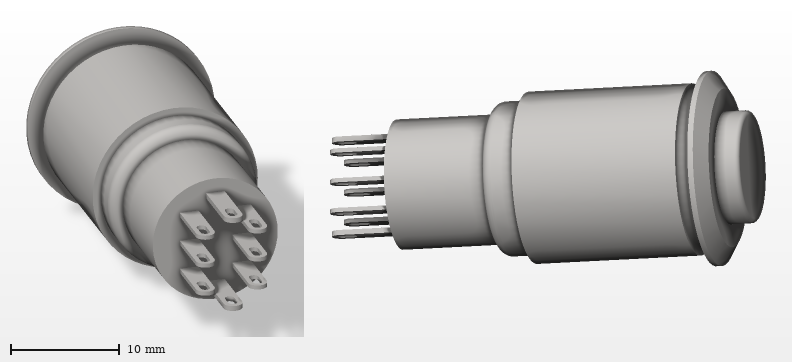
import cadquery as cq

total_length = 39.9

button_diameter = 10.4
button_edge_radius = 0.4

bore_diameter = 10.45
flange_front_diameter = 14.65
flange_diameter = 18.0
neck_diameter = 14.35
body_diameter = 15.9
collar_diameter = 14.3
barrel_diameter = 12.0

flange_front_x = 2.3
flange_rim_x = 3.4
flange_back_x = 3.9
body_start_x = 5.35
body_end_x = 20.85
collar_end_x = 24.0
barrel_end_x = 33.48
bore_floor_x = flange_back_x

neck_fillet_radius = 0.35
collar_edge_radius = 1.0

terminal_width = 1.8
slot_width = 0.88
short_terminal_setback = 0.48
short_terminal_length = total_length - short_terminal_setback - barrel_end_x
short_terminal_thickness = 0.4
short_slot_length = 2.05
column_offset_y = 2.5
row_pitch_z = 2.8
long_terminal_length = total_length - barrel_end_x
long_terminal_thickness = 0.48
long_slot_length = 1.85
long_slot_tip_wall = 0.5
long_terminal_offset_z = 4.4


def make_button():
    """Plain round button resting on the floor of the housing bore."""
    button = cq.Workplane("YZ").circle(button_diameter / 2).extrude(bore_floor_x)
    return button.faces("<X").edges().fillet(button_edge_radius)


def make_shell():
    """Turned housing: flange, filleted neck, body, rounded collar and rear barrel, with a front bore."""
    neck_radius = neck_diameter / 2
    collar_radius = collar_diameter / 2
    fillet = neck_fillet_radius
    profile = (
        cq.Workplane("XY")
        .moveTo(flange_front_x, 0)
        .lineTo(flange_front_x, flange_front_diameter / 2)
        .lineTo(flange_rim_x, flange_diameter / 2)
        .lineTo(flange_back_x, flange_diameter / 2)
        .lineTo(flange_back_x, neck_radius + fillet)
        .radiusArc((flange_back_x + fillet, neck_radius), -fillet)
        .lineTo(body_start_x - fillet, neck_radius)
        .radiusArc((body_start_x, neck_radius + fillet), -fillet)
        .lineTo(body_start_x, body_diameter / 2)
        .lineTo(body_end_x, body_diameter / 2)
        .lineTo(body_end_x, collar_radius)
        .lineTo(collar_end_x - collar_edge_radius, collar_radius)
        .radiusArc((collar_end_x, collar_radius - collar_edge_radius), collar_edge_radius)
        .lineTo(collar_end_x, barrel_diameter / 2)
        .lineTo(barrel_end_x, barrel_diameter / 2)
        .lineTo(barrel_end_x, 0)
        .close()
    )
    shell = profile.revolve(360, (0, 0, 0), (1, 0, 0))
    bore = (
        cq.Workplane("YZ", origin=(flange_front_x, 0, 0))
        .circle(bore_diameter / 2)
        .extrude(bore_floor_x - flange_front_x)
    )
    return shell.cut(bore)


def make_terminal(length, thickness, slot_length, tip_wall, y, z):
    """Flat terminal on the barrel end at (y, z), with a full-round tip and a lengthwise slot."""
    tip_radius = terminal_width / 2
    straight_length = length - tip_radius
    plane = cq.Workplane("XY", origin=(barrel_end_x, y, z - thickness / 2))
    blade = (
        plane.moveTo(0, -tip_radius)
        .lineTo(straight_length, -tip_radius)
        .threePointArc((length, 0), (straight_length, tip_radius))
        .lineTo(0, tip_radius)
        .close()
        .extrude(thickness)
    )
    slot_center = length - tip_wall - slot_length / 2
    slot = plane.center(slot_center, 0).slot2D(slot_length, slot_width).extrude(thickness)
    return blade.cut(slot)


def make_housing():
    """Turned shell with its terminals joined to the rear face."""
    housing = make_shell()
    short_tip_wall = (terminal_width - slot_width) / 2
    for y in (-column_offset_y, column_offset_y):
        for z in (-row_pitch_z, 0, row_pitch_z):
            housing = housing.union(make_terminal(
                short_terminal_length, short_terminal_thickness, short_slot_length, short_tip_wall, y, z
            ))
    for z in (-long_terminal_offset_z, long_terminal_offset_z):
        housing = housing.union(make_terminal(
            long_terminal_length, long_terminal_thickness, long_slot_length, long_slot_tip_wall, 0, z
        ))
    return housing


button = make_button()
housing = make_housing()

result = cq.Compound.makeCompound([button.val(), housing.val()])